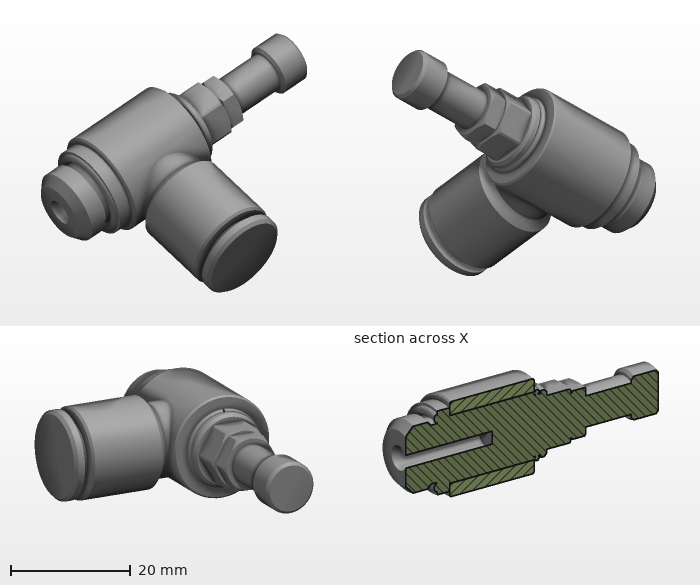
import cadquery as cq
import math


barrel_radius = 9.0
barrel_half_length = 8.5
barrel_chamfer = 0.3
bore_radius = 6.5
port_neck_radius = 6.5
port_neck_end = 9.5
port_root_fillet = 0.4
port_radius = 8.0
port_end = 24.0
port_chamfer = 0.4
sleeve_neck_radius = 5.8
sleeve_neck_end = 25.1
sleeve_step_radius = 6.2
sleeve_flange_radius = 7.75
sleeve_flange_start = 25.4
sleeve_flange_chamfer = 0.55
sleeve_end = 27.15

bolt_end = -17.35
end_chamfer = 1.55
thread_radius = bore_radius
thread_top = -12.9
relief_radius = 5.8
collar_radius = 8.0
collar_bottom = -11.0
collar_top = -barrel_half_length
collar_top_chamfer = 0.2
passage_radius = 2.25
passage_top = 0.0

seal_wire_radius = 0.85
seal_mean_radius = relief_radius + seal_wire_radius
seal_height = -10.8

snap_wire_radius = 0.5
snap_mean_radius = 6.35
snap_height = barrel_half_length + snap_wire_radius
snap_groove_radius = 6.0
snap_groove_top = 9.7
snap_gap = 0.45
snap_gap_center = 0.1

shoulder_top = 11.0
shoulder_chamfer = 0.5
body_hex_flats = 10.0
body_hex_corner_radius = 5.65
body_hex_top = 15.85
lock_nut_flats = 9.0
lock_nut_top = 18.85
hex_chamfer_angle = 30.0
hex_half_angle = 30.0
stem_radius = 3.5
knob_radius = 4.5
knob_bottom = 27.9
knob_top = 33.4
knob_chamfer = 0.5


def turned_about_y(points):
    """Solid of revolution about Y from (radius, y) points that start and end on the axis."""
    return cq.Workplane("XY").polyline(points).close().revolve(360, (0, 0), (0, 1))


def turned_about_x(points):
    """Solid of revolution about X from (x, radius) points that start and end on the axis."""
    return cq.Workplane("XY").polyline(points).close().revolve(360, (0, 0), (1, 0))


def ring_about_y(mean_radius, wire_radius, height):
    """Round-wire ring about Y with its centre plane at the given height."""
    section = cq.Workplane("XY").center(mean_radius, height).circle(wire_radius)
    return section.revolve(360, (-mean_radius, 0), (-mean_radius, 1))


def cylinder_y(radius, bottom, top):
    """Cylinder about Y between two heights."""
    return cq.Workplane("XZ", origin=(0, top, 0)).circle(radius).extrude(top - bottom)


def hexagon(flats, corner_radius, bottom, top, chamfer_bottom):
    """Hexagonal prism about Y with corners on X, trimmed by a turned blank with coned ends."""
    corner_diameter = flats / math.cos(math.radians(hex_half_angle))
    prism = cq.Workplane("XZ", origin=(0, top, 0)).polygon(6, corner_diameter).extrude(top - bottom)
    face_radius = flats / 2
    cone_height = (corner_radius - face_radius) * math.tan(math.radians(hex_chamfer_angle))
    blank_points = [(0, bottom)]
    if chamfer_bottom:
        blank_points += [(face_radius, bottom), (corner_radius, bottom + cone_height)]
    else:
        blank_points += [(corner_radius, bottom)]
    blank_points += [(corner_radius, top - cone_height), (face_radius, top), (0, top)]
    return prism.intersect(turned_about_y(blank_points))


def make_elbow():
    """Barrel with a side port and its release sleeve, bored through for the bolt."""
    barrel = cylinder_y(barrel_radius, -barrel_half_length, barrel_half_length)
    barrel = barrel.edges().chamfer(barrel_chamfer)
    port_cone_end = port_neck_end + port_radius - port_neck_radius
    port = turned_about_x([
        (0, 0),
        (0, port_neck_radius),
        (port_neck_end, port_neck_radius),
        (port_cone_end, port_radius),
        (port_end - port_chamfer, port_radius),
        (port_end, port_radius - port_chamfer),
        (port_end, sleeve_neck_radius),
        (sleeve_neck_end, sleeve_neck_radius),
        (sleeve_flange_start, sleeve_step_radius),
        (sleeve_flange_start, sleeve_flange_radius),
        (sleeve_end - sleeve_flange_chamfer, sleeve_flange_radius),
        (sleeve_end, sleeve_flange_radius - sleeve_flange_chamfer),
        (sleeve_end, 0),
    ])
    root_box = cq.selectors.BoxSelector(
        (0, -barrel_half_length, -barrel_radius),
        (port_neck_end - port_root_fillet, barrel_half_length, barrel_radius),
    )
    body = barrel.union(port)
    body = body.edges(root_box).edges("not(%CIRCLE or %LINE)").fillet(port_root_fillet)
    return body.cut(cylinder_y(bore_radius, -barrel_half_length, barrel_half_length))


def make_snap_ring():
    """Round-wire ring, split on its +Z side."""
    ring = ring_about_y(snap_mean_radius, snap_wire_radius, snap_height)
    gap_height = snap_mean_radius + snap_wire_radius
    gap = cq.Workplane("XY", origin=(snap_gap_center, snap_height, 0))
    gap = gap.rect(snap_gap, 2 * snap_wire_radius).extrude(gap_height)
    return ring.cut(gap)


def make_bolt():
    """Hollow bolt with its seal, snap ring, hexagons and adjusting knob."""
    shank = turned_about_y([
        (0, bolt_end),
        (thread_radius - end_chamfer, bolt_end),
        (thread_radius, bolt_end + end_chamfer),
        (thread_radius, thread_top),
        (relief_radius, thread_top + thread_radius - relief_radius),
        (relief_radius, collar_bottom),
        (collar_radius, collar_bottom),
        (collar_radius, collar_top - collar_top_chamfer),
        (collar_radius - collar_top_chamfer, collar_top),
        (bore_radius, collar_top),
        (bore_radius, barrel_half_length),
        (snap_groove_radius, barrel_half_length),
        (snap_groove_radius, snap_groove_top),
        (bore_radius, snap_groove_top),
        (bore_radius, shoulder_top - shoulder_chamfer),
        (bore_radius - shoulder_chamfer, shoulder_top),
        (stem_radius, shoulder_top),
        (stem_radius, knob_bottom),
        (knob_radius - knob_chamfer, knob_bottom),
        (knob_radius, knob_bottom + knob_chamfer),
        (knob_radius, knob_top - knob_chamfer),
        (knob_radius - knob_chamfer, knob_top),
        (0, knob_top),
    ])
    seal = ring_about_y(seal_mean_radius, seal_wire_radius, seal_height)
    snap_ring = make_snap_ring()
    body_hex = hexagon(body_hex_flats, body_hex_corner_radius, shoulder_top, body_hex_top, False)
    lock_nut_corner_radius = lock_nut_flats / 2 / math.cos(math.radians(hex_half_angle))
    lock_nut = hexagon(lock_nut_flats, lock_nut_corner_radius, body_hex_top, lock_nut_top, True)
    bolt = shank.union(seal).union(snap_ring).union(body_hex).union(lock_nut)
    return bolt.cut(cylinder_y(passage_radius, bolt_end, passage_top))


elbow = make_elbow()
bolt = make_bolt()
result = cq.Compound.makeCompound([elbow.val(), bolt.val()])